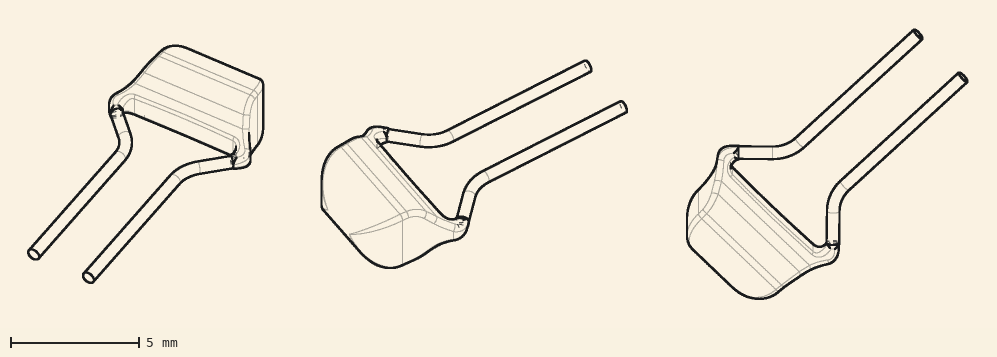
import cadquery as cq
import math

body_radius = 1.5
rear_half_width = 0.75
body_half_width = rear_half_width + body_radius
edge_radius = 0.19

crown_end_y = -0.29
shoulder_radius = 1.12
neck_radius = 1.88

lead_radius = 0.25
lead_half_pitch = 1.25
lead_tip_y = -11.0
bend_start_y = -4.55
bend_radius = 1.5
bend_angle = math.radians(45)
arm_end_y = -2.55

foot_half_width = 3.15
foot_y = -2.11
waist = (2.59, -1.19)
foot_top = (3.05, -1.84)
underside_y = -1.81
inner_corner = (2.25, -1.85)
inner_side = (2.51, -2.12)
arm_overrun = 0.5
side_overrun = 0.12

downwards = (0, -1)
flare = (0.63, -0.77)
outer_return = (-1, -1)
inner_return = (1, 1)
corner_exit = (-1, 0.1)

diagonal = math.sin(bend_angle)
bend_end = (
    lead_half_pitch + bend_radius * (1 - math.cos(bend_angle)),
    bend_start_y + bend_radius * diagonal,
)
joint = (bend_end[0] + arm_end_y - bend_end[1], arm_end_y)


def beside_joint(side):
    """Point on the edge of the lead at its joint: side +1 is outer, -1 is inner."""
    offset = side * lead_radius * diagonal
    return joint[0] + offset, joint[1] - offset


def mirrored(point):
    return -point[0], point[1]


def retraced(direction):
    """Direction of travel on the -X side, where the mirrored outline runs backwards."""
    return direction[0], -direction[1]


def plan_prism():
    """Outline of the body and its two feet in plan, extruded through the thickness."""
    rear_arc_middle = (
        rear_half_width + body_radius * diagonal,
        body_radius * diagonal,
    )
    outer_joint = beside_joint(1)
    inner_joint = beside_joint(-1)
    outline = (
        cq.Workplane("XY", origin=(0, 0, -body_radius))
        .moveTo(-rear_half_width, body_radius)
        .lineTo(rear_half_width, body_radius)
        .threePointArc(rear_arc_middle, (body_half_width, 0))
        .spline([waist, foot_top], tangents=[downwards, flare], includeCurrent=True)
        .spline(
            [(foot_half_width, foot_y), outer_joint],
            tangents=[flare, outer_return],
            includeCurrent=True,
        )
        .lineTo(*inner_joint)
        .spline(
            [inner_side, inner_corner],
            tangents=[inner_return, corner_exit],
            includeCurrent=True,
        )
        .threePointArc((0, underside_y), mirrored(inner_corner))
        .spline(
            [mirrored(inner_side), mirrored(inner_joint)],
            tangents=[retraced(corner_exit), retraced(inner_return)],
            includeCurrent=True,
        )
        .lineTo(*mirrored(outer_joint))
        .spline(
            [(-foot_half_width, foot_y), mirrored(foot_top)],
            tangents=[retraced(outer_return), retraced(flare)],
            includeCurrent=True,
        )
        .spline(
            [mirrored(waist), (-body_half_width, 0)],
            tangents=[retraced(flare), retraced(downwards)],
            includeCurrent=True,
        )
        .threePointArc(mirrored(rear_arc_middle), (-rear_half_width, body_radius))
        .close()
    )
    return outline.extrude(2 * body_radius)


def side_prism():
    """Teardrop side profile, extruded across the width."""
    half_sine = math.sin(bend_angle / 2)
    half_drop = 1 - math.cos(bend_angle / 2)
    full_drop = 1 - math.cos(bend_angle)
    tangent_lengths = (shoulder_radius + neck_radius) * math.tan(bend_angle / 2)
    arm_start_y = crown_end_y - tangent_lengths - (body_radius - lead_radius)

    convex_middle = (
        crown_end_y - shoulder_radius * half_sine,
        body_radius - shoulder_radius * half_drop,
    )
    convex_end = (
        crown_end_y - shoulder_radius * diagonal,
        body_radius - shoulder_radius * full_drop,
    )
    concave_start = (
        arm_start_y + neck_radius * diagonal,
        lead_radius + neck_radius * full_drop,
    )
    concave_middle = (
        arm_start_y + neck_radius * half_sine,
        lead_radius + neck_radius * half_drop,
    )
    arm_tip_y = arm_end_y - arm_overrun

    def below(point):
        return point[0], -point[1]

    profile = (
        cq.Workplane("YZ", origin=(-foot_half_width - side_overrun, 0, 0))
        .moveTo(0, body_radius)
        .lineTo(crown_end_y, body_radius)
        .threePointArc(convex_middle, convex_end)
        .lineTo(*concave_start)
        .threePointArc(concave_middle, (arm_start_y, lead_radius))
        .lineTo(arm_tip_y, lead_radius)
        .lineTo(arm_tip_y, -lead_radius)
        .lineTo(arm_start_y, -lead_radius)
        .threePointArc(below(concave_middle), below(concave_start))
        .lineTo(*below(convex_end))
        .threePointArc(below(convex_middle), (crown_end_y, -body_radius))
        .lineTo(0, -body_radius)
        .threePointArc((body_radius, 0), (0, body_radius))
        .close()
    )
    return profile.extrude(2 * (foot_half_width + side_overrun))


def lead():
    """Round wire on the +X side: straight tail, 45 degree bend, straight run to the foot."""
    bend_middle = (
        lead_half_pitch + bend_radius * (1 - math.cos(bend_angle / 2)),
        bend_start_y + bend_radius * math.sin(bend_angle / 2),
    )
    path = (
        cq.Workplane("XY")
        .moveTo(lead_half_pitch, lead_tip_y)
        .lineTo(lead_half_pitch, bend_start_y)
        .threePointArc(bend_middle, bend_end)
        .lineTo(*joint)
    )
    tip = cq.Workplane("XZ", origin=(lead_half_pitch, lead_tip_y, 0))
    return tip.circle(lead_radius).sweep(path)


body = plan_prism().intersect(side_prism())
body = body.edges("not %LINE").fillet(edge_radius)

right_lead = lead()
left_lead = right_lead.mirror("YZ")
result = body.union(right_lead).union(left_lead)